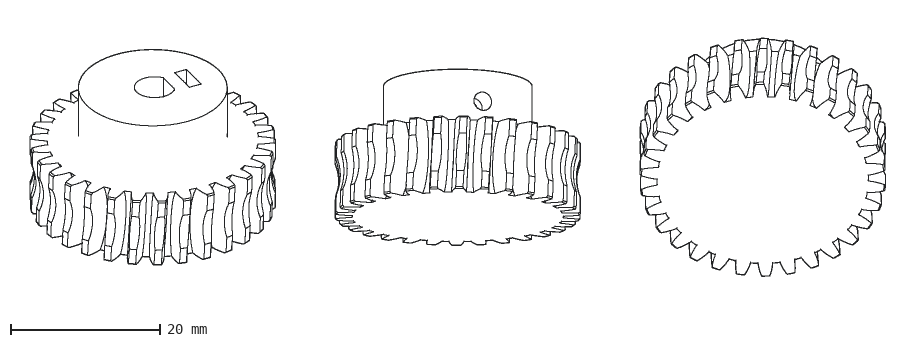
import cadquery as cq
import math

TEETH = 30
TIP_R = 16.5
ROOT_R = 14.2
WHEEL_H = 10.0
TWIST = 2.1
EDGE_CHAMFER = 0.2

FLANK_INNER_R = 12.7
FLANK_MID_R = 14.85
FLANK_OUTER_R = 16.65
INNER_HALF_W = 0.95
MID_HALF_W = 0.92
OUTER_HALF_W = 0.43

THROAT_R = 16.0
THROAT_H = 5.15
THROAT_DEPTH = TIP_R - THROAT_R
THROAT_ARC_R = (THROAT_H ** 2 / 4 + THROAT_DEPTH ** 2) / (2 * THROAT_DEPTH)

WORM_AXIS_R = THROAT_R + THROAT_ARC_R
ROOT_ARC_R = math.hypot(WORM_AXIS_R - ROOT_R, WHEEL_H / 2)
DEEPEST_ROOT_R = WORM_AXIS_R - ROOT_ARC_R

HUB_D = 20.0
HUB_H = 8.0
HUB_FILLET = 0.2
TOTAL_H = WHEEL_H + HUB_H

BORE_D = 5.45
BORE_ACROSS = 4.9
BORE_DEPTH = HUB_H

SCREW_D = 2.5
SCREW_ABOVE_WHEEL = 3.7
SCREW_Z = WHEEL_H + SCREW_ABOVE_WHEEL
NUT_W = 4.3
NUT_T = 1.78
NUT_Y = 4.42


def polar(radius, angle):
    return (radius * math.cos(angle), radius * math.sin(angle))


def tooth_point(radius, half_width, centre_angle):
    """Point on a tooth flank; a negative half width gives the clockwise flank."""
    return polar(radius, centre_angle + math.asin(half_width / radius))


def tooth_prism():
    """Twisted prism of one tooth, lying on +X at mid height."""
    start = -math.radians(TWIST) / 2
    return (
        cq.Workplane("XY")
        .moveTo(*tooth_point(FLANK_INNER_R, -INNER_HALF_W, start))
        .threePointArc(
            tooth_point(FLANK_MID_R, -MID_HALF_W, start),
            tooth_point(FLANK_OUTER_R, -OUTER_HALF_W, start),
        )
        .lineTo(*tooth_point(FLANK_OUTER_R, OUTER_HALF_W, start))
        .threePointArc(
            tooth_point(FLANK_MID_R, MID_HALF_W, start),
            tooth_point(FLANK_INNER_R, INNER_HALF_W, start),
        )
        .close()
        .twistExtrude(WHEEL_H, TWIST)
    )


def throated_blank():
    """Turned blank with chamfered ends and a concave throat."""
    throat_bottom = (WHEEL_H - THROAT_H) / 2
    throat_top = (WHEEL_H + THROAT_H) / 2
    return (
        cq.Workplane("XZ")
        .lineTo(TIP_R - EDGE_CHAMFER, 0)
        .lineTo(TIP_R, EDGE_CHAMFER)
        .lineTo(TIP_R, throat_bottom)
        .threePointArc((THROAT_R, WHEEL_H / 2), (TIP_R, throat_top))
        .lineTo(TIP_R, WHEEL_H - EDGE_CHAMFER)
        .lineTo(TIP_R - EDGE_CHAMFER, WHEEL_H)
        .lineTo(0, WHEEL_H)
        .close()
        .revolve(360, (0, 0), (0, 1))
    )


def turned_body():
    """Waisted core carrying the roots of the gaps, with the filleted hub on top."""
    hub_r = HUB_D / 2
    fillet_mid = HUB_FILLET * (1 - math.sqrt(0.5))
    return (
        cq.Workplane("XZ")
        .lineTo(ROOT_R, 0)
        .threePointArc((DEEPEST_ROOT_R, WHEEL_H / 2), (ROOT_R, WHEEL_H))
        .lineTo(hub_r + HUB_FILLET, WHEEL_H)
        .threePointArc(
            (hub_r + fillet_mid, WHEEL_H + fillet_mid),
            (hub_r, WHEEL_H + HUB_FILLET),
        )
        .lineTo(hub_r, TOTAL_H)
        .lineTo(0, TOTAL_H)
        .close()
        .revolve(360, (0, 0), (0, 1))
    )


def bore():
    """D-shaped bore sunk from the hub top, with its flat toward +Y."""
    centre_y = (BORE_D - BORE_ACROSS) / 2
    floor_z = TOTAL_H - BORE_DEPTH
    flat_y = BORE_ACROSS / 2
    flat_half_w = math.sqrt((BORE_D / 2) ** 2 - (flat_y - centre_y) ** 2)
    return (
        cq.Workplane("XY", origin=(0, 0, floor_z))
        .moveTo(-flat_half_w, flat_y)
        .threePointArc((0, -flat_y), (flat_half_w, flat_y))
        .close()
        .extrude(BORE_DEPTH)
    )


def nut_slot():
    """Slot open at the hub top, its floor the lower two flats of the nut."""
    half_w = NUT_W / 2
    corner_r = NUT_W / math.sqrt(3)
    return (
        cq.Workplane("XZ", origin=(0, NUT_Y, 0))
        .moveTo(-half_w, TOTAL_H)
        .lineTo(-half_w, SCREW_Z - corner_r / 2)
        .lineTo(0, SCREW_Z - corner_r)
        .lineTo(half_w, SCREW_Z - corner_r / 2)
        .lineTo(half_w, TOTAL_H)
        .close()
        .extrude(-NUT_T)
    )


def screw_hole():
    """Radial hole from the bore out through the +Y side of the hub."""
    return cq.Workplane("XZ", origin=(0, 0, SCREW_Z)).circle(SCREW_D / 2).extrude(-HUB_D)


tooth = tooth_prism().intersect(throated_blank())
teeth = cq.Workplane("XY").polarArray(0, 0, 360, TEETH).eachpoint(
    lambda place: tooth.val().moved(place), combine=False
)
body = turned_body().cut(bore()).cut(nut_slot()).cut(screw_hole())
result = body.union(teeth).solids()